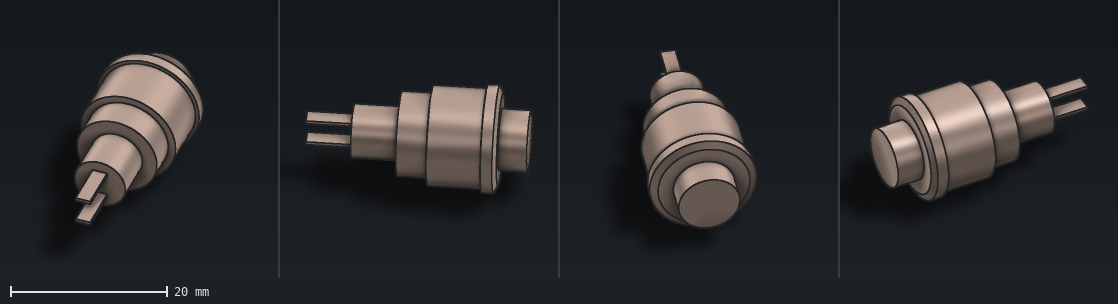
import cadquery as cq

button_diameter = 8.0
button_length = 3.7
flange_diameter = 14.0
flange_length = 2.0
bevel_radial = 1.0
bevel_axial = 0.5
body_diameter = 13.0
body_length = 7.0
collar_diameter = 11.0
collar_length = 4.0
tail_diameter = 7.0
tail_length = 6.0

terminal_width = 2.0
terminal_thickness = 0.5
terminal_length = 6.0
terminal_spacing = 3.5

button_end = flange_length + button_length
body_rear = -body_length
collar_rear = body_rear - collar_length
tail_rear = collar_rear - tail_length


def cylinder(diameter, start_y, end_y):
    """Solid cylinder about the Y axis between two Y positions."""
    profile = cq.Workplane("XZ", origin=(0, end_y, 0)).circle(diameter / 2)
    return profile.extrude(end_y - start_y)


def beveled_flange():
    """Flange with an uneven bevel around its button-side edge."""
    radius = flange_diameter / 2
    return (
        cq.Workplane("XY")
        .moveTo(0, 0)
        .lineTo(radius, 0)
        .lineTo(radius, flange_length - bevel_axial)
        .lineTo(radius - bevel_radial, flange_length)
        .lineTo(0, flange_length)
        .close()
        .revolve(360, (0, 0, 0), (0, 1, 0))
    )


def terminal(center_z):
    """Flat blade standing on the rear face of the tail."""
    center_y = tail_rear - terminal_length / 2
    return (
        cq.Workplane("XY")
        .box(terminal_width, terminal_length, terminal_thickness)
        .translate((0, center_y, center_z))
    )


result = (
    beveled_flange()
    .union(cylinder(button_diameter, flange_length, button_end))
    .union(cylinder(body_diameter, body_rear, 0))
    .union(cylinder(collar_diameter, collar_rear, body_rear))
    .union(cylinder(tail_diameter, tail_rear, collar_rear))
)
for side in (-1, 1):
    result = result.union(terminal(side * terminal_spacing / 2))